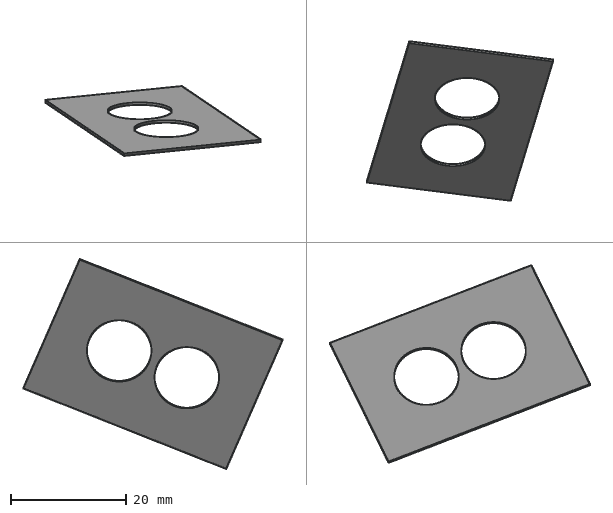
import cadquery as cq

length = 38.1
width = 25.4
thickness = 0.5

hole_diameter = 11.15
hole_spacing = length / 3

plate = cq.Workplane("XY").box(length, width, thickness)

result = (
    plate.faces(">Z")
    .workplane()
    .pushPoints([(-hole_spacing / 2, 0), (hole_spacing / 2, 0)])
    .hole(hole_diameter)
)